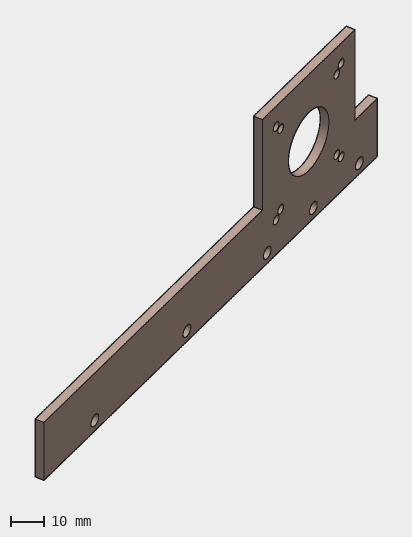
import cadquery as cq

thickness = 3.1
length = 184.2
height = 57.0
strip_height = 22.3

tab_offset = 12.3
tab_width = 51.2

bore_diameter = 22.3
bore_height = 31.3
screw_diameter = 3.1
screw_spacings = (31.0, 36.0)

mount_diameter = 4.2
mount_height = 4.0
mount_pitch = 25.5
first_mount = 10.0
fourth_mount = 105.1

y_end = length / 2
tab_left = y_end - tab_offset
tab_right = tab_left - tab_width
bore_y = (tab_left + tab_right) / 2


def cutter(points, diameter):
    """Cylinders along X through the plate at the given (Y, Z) points."""
    return cq.Workplane("YZ").pushPoints(points).circle(diameter / 2).extrude(thickness)


plate = (
    cq.Workplane("YZ")
    .moveTo(y_end, 0)
    .lineTo(y_end, strip_height)
    .lineTo(tab_left, strip_height)
    .lineTo(tab_left, height)
    .lineTo(tab_right, height)
    .lineTo(tab_right, strip_height)
    .lineTo(-y_end, strip_height)
    .lineTo(-y_end, 0)
    .close()
    .extrude(thickness)
)

plate = plate.cut(cutter([(bore_y, bore_height)], bore_diameter))
for spacing in screw_spacings:
    half = spacing / 2
    corners = [(bore_y + sy * half, bore_height + sz * half) for sy in (-1, 1) for sz in (-1, 1)]
    plate = plate.cut(cutter(corners, screw_diameter))

mount_distances = [first_mount + i * mount_pitch for i in range(3)]
mount_distances += [fourth_mount + i * 2 * mount_pitch for i in range(2)]
mount_points = [(y_end - distance, mount_height) for distance in mount_distances]
plate = plate.cut(cutter(mount_points, mount_diameter))

result = plate